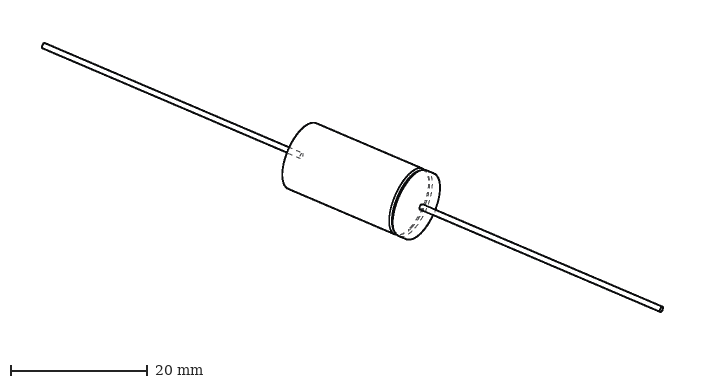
import cadquery as cq

total_length = 108.0
body_length = 21.0
body_diameter = 10.5
left_lead_length = 45.0
lead_diameter = 0.9
edge_radius = 0.2
groove_offset = 19.1
groove_width = 0.6
groove_depth = 0.2

body_radius = body_diameter / 2
lead_start = -body_length / 2 - left_lead_length


def cylinder_along_x(start, length, radius):
    return cq.Workplane("YZ", origin=(start, 0, 0)).circle(radius).extrude(length)


def make_can():
    """Cylinder with rounded rims, centred on the origin."""
    can = cylinder_along_x(-body_length / 2, body_length, body_radius)
    return can.faces("<X or >X").edges().fillet(edge_radius)


def make_groove_cutter():
    """Ring with a V section that points in towards the axis."""
    groove_middle = groove_offset - body_length / 2
    groove_left = groove_middle - groove_width / 2
    groove_right = groove_middle + groove_width / 2
    outside_radius = body_radius + groove_depth
    return (
        cq.Workplane("XY")
        .moveTo(groove_left, body_radius)
        .lineTo(groove_middle, body_radius - groove_depth)
        .lineTo(groove_right, body_radius)
        .lineTo(groove_right, outside_radius)
        .lineTo(groove_left, outside_radius)
        .close()
        .revolve(360, (0, 0, 0), (1, 0, 0))
    )


leads = cylinder_along_x(lead_start, total_length, lead_diameter / 2)
result = make_can().cut(make_groove_cutter()).union(leads)